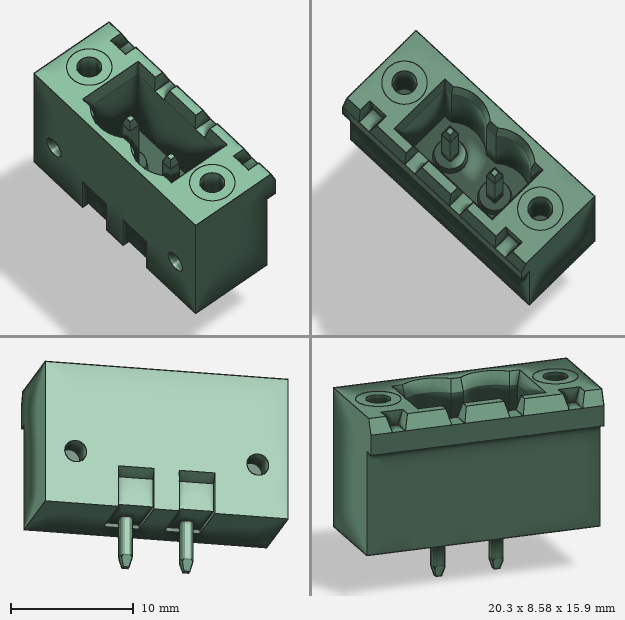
import cadquery as cq


housing_length = 20.32
housing_depth = 7.66
overall_height = 15.9
housing_height = 11.99
lip_depth = 8.58
lip_height = 3.03
lip_bevel_depth = 0.5
lip_bevel_height = 1.28

pole_pitch = 5.08
pin_y = 3.86
pin_size = 1.02
pin_top = 10.28
pin_bottom = housing_height - overall_height
pin_edge_radius = 0.08
tail_edge_radius = 0.25
tip_inset = 0.26
upper_tip_height = 0.8
lower_tip_height = 0.98
pole_xs = [-pole_pitch / 2, pole_pitch / 2]

pocket_length = 10.5
pocket_front = 1.67
pocket_back = 6.95
pocket_floor = 3.45
lobe_radius = 2.97
flare_inset = 0.33
flare_height = 1.15

boss_base_radius = 1.42
boss_top_radius = 1.3
boss_height = 0.81

notch_floor_width = 1.14
pole_notch_width = 1.79
insert_notch_width = 1.87
notch_depth = lip_bevel_height

insert_spacing = 15.45
insert_diameter = 3.7
insert_bore = 2.01
insert_length = 4.88
insert_xs = [-insert_spacing / 2, insert_spacing / 2]

front_hole_spacing = 15.25
front_hole_z = 4.47
front_hole_diameter = 1.8
front_hole_depth = 2.44

relief_width = 2.97
window_height = 3.47
window_back_height = 2.7
window_depth = 0.49
slot_height = 0.33
slot_back = pin_y + relief_width / 2


def make_block():
    profile = [
        (0, 0),
        (housing_depth, 0),
        (housing_depth, housing_height - lip_height),
        (lip_depth, housing_height - lip_height),
        (lip_depth, housing_height - lip_bevel_height),
        (lip_depth - lip_bevel_depth, housing_height),
        (0, housing_height),
    ]
    return cq.Workplane("YZ").polyline(profile).close().extrude(housing_length / 2, both=True)


def make_cone(x, base_z, base_radius, top_radius, height):
    return cq.Workplane(cq.Solid.makeCone(base_radius, top_radius, height, pnt=cq.Vector(x, pin_y, base_z)))


def make_pocket():
    width = pocket_back - pocket_front
    middle_y = (pocket_front + pocket_back) / 2
    flare_base = housing_height - flare_height
    straight = (
        cq.Workplane("XY", origin=(0, middle_y, pocket_floor))
        .rect(pocket_length, width)
        .extrude(housing_height - pocket_floor)
    )
    flare = (
        cq.Workplane("XY", origin=(0, middle_y, flare_base))
        .rect(pocket_length, width)
        .workplane(offset=flare_height)
        .rect(pocket_length + 2 * flare_inset, width + 2 * flare_inset)
        .loft()
    )
    between_ends = cq.Workplane("XY").box(pocket_length, 2 * lip_depth, 2 * housing_height)
    pocket = straight.union(flare)
    for x in pole_xs:
        lobe = (
            cq.Workplane("XY", origin=(x, pin_y, pocket_floor))
            .circle(lobe_radius)
            .extrude(housing_height - pocket_floor)
        )
        lobe_flare = make_cone(x, flare_base, lobe_radius, lobe_radius + flare_inset, flare_height)
        pocket = pocket.union(lobe.union(lobe_flare).intersect(between_ends))
    for x in pole_xs:
        pocket = pocket.cut(make_cone(x, pocket_floor, boss_base_radius, boss_top_radius, boss_height))
    return pocket


def make_notch(x, top_width):
    profile = [
        (x - notch_floor_width / 2, housing_height - notch_depth),
        (x + notch_floor_width / 2, housing_height - notch_depth),
        (x + top_width / 2, housing_height),
        (x - top_width / 2, housing_height),
    ]
    return (
        cq.Workplane("XZ", origin=(0, lip_depth, 0))
        .polyline(profile)
        .close()
        .extrude(lip_depth - pocket_back)
    )


def make_pin_relief(x):
    profile = [
        (0, 0),
        (slot_back, 0),
        (slot_back, slot_height),
        (window_depth, slot_height),
        (window_depth, window_back_height),
        (0, window_height),
    ]
    return (
        cq.Workplane("YZ", origin=(x, 0, 0))
        .polyline(profile)
        .close()
        .extrude(relief_width / 2, both=True)
    )


def make_front_holes():
    return (
        cq.Workplane("XZ", origin=(0, 0, front_hole_z))
        .rarray(front_hole_spacing, 0.2, 2, 1)
        .circle(front_hole_diameter / 2)
        .extrude(-front_hole_depth)
    )


def make_post(x, bottom, top, edge_radius):
    """Square post with rounded long edges, centred on a pole."""
    return (
        cq.Workplane("XY", origin=(x, pin_y, bottom))
        .rect(pin_size, pin_size)
        .extrude(top - bottom)
        .edges("|Z")
        .fillet(edge_radius)
    )


def make_insert_seat(x):
    return (
        cq.Workplane("XY", origin=(x, pin_y, housing_height - insert_length))
        .circle(insert_diameter / 2)
        .extrude(insert_length)
    )


def make_housing():
    housing = make_block().cut(make_pocket()).cut(make_front_holes())
    for x in pole_xs:
        housing = housing.cut(make_notch(x, pole_notch_width))
        housing = housing.cut(make_pin_relief(x)).cut(make_post(x, slot_height, pin_top, pin_edge_radius))
    for x in insert_xs:
        housing = housing.cut(make_notch(x, insert_notch_width)).cut(make_insert_seat(x))
    return housing


def make_pin_tip(x, base_z, end_z):
    """Square frustum that narrows from base_z to end_z, above or below it."""
    end_size = pin_size - 2 * tip_inset
    return (
        cq.Workplane("XY", origin=(x, pin_y, base_z))
        .rect(pin_size, pin_size)
        .workplane(offset=end_z - base_z)
        .rect(end_size, end_size)
        .loft()
    )


def make_pin(x):
    """Square pin with pointed ends; its tail, below the slot roof, has rounder edges."""
    shank_top = pin_top - upper_tip_height
    shank_bottom = pin_bottom + lower_tip_height
    pointed_bar = (
        cq.Workplane("XY", origin=(x, pin_y, shank_bottom))
        .rect(pin_size, pin_size)
        .extrude(shank_top - shank_bottom)
        .union(make_pin_tip(x, shank_top, pin_top))
        .union(make_pin_tip(x, shank_bottom, pin_bottom))
    )
    tail = make_post(x, pin_bottom, slot_height, tail_edge_radius)
    envelope = make_post(x, slot_height, pin_top, pin_edge_radius).union(tail)
    return pointed_bar.intersect(envelope)


def make_insert(x):
    bore = (
        cq.Workplane("XY", origin=(x, pin_y, housing_height - insert_length))
        .circle(insert_bore / 2)
        .extrude(insert_length)
    )
    return make_insert_seat(x).cut(bore)


housing = make_housing()
pins = [make_pin(x) for x in pole_xs]
inserts = [make_insert(x) for x in insert_xs]

result = cq.Compound.makeCompound(
    [housing.val(), *[pin.val() for pin in pins], *[insert.val() for insert in inserts]]
)